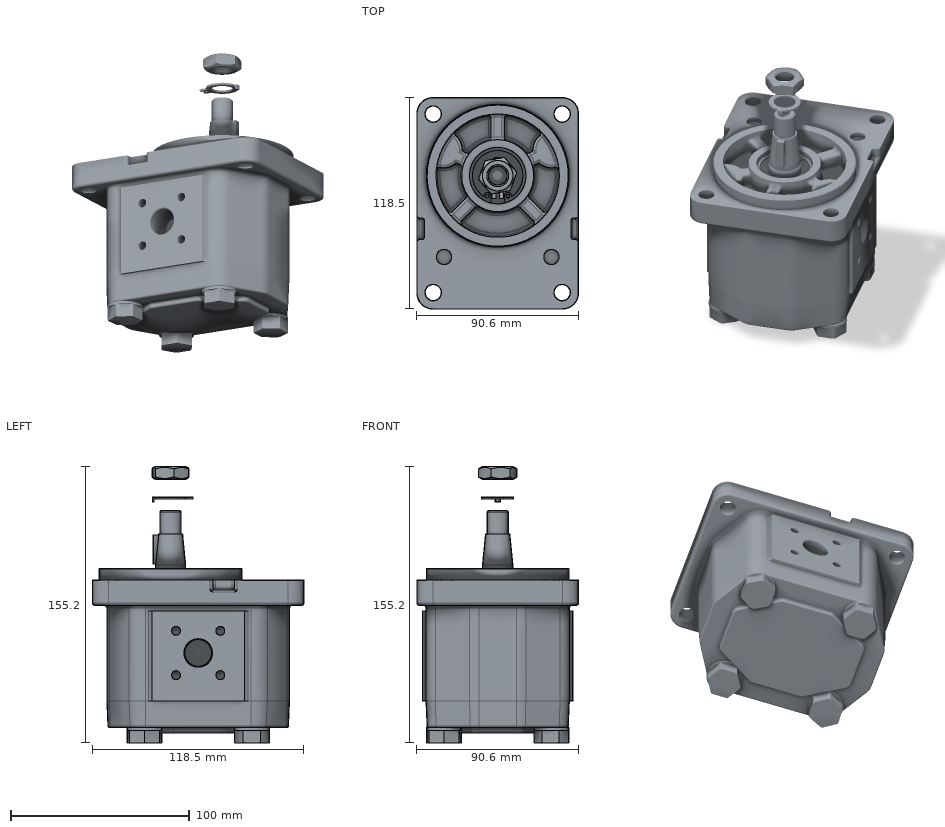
import cadquery as cq
import math


CENTER_Y = -15.5

FLANGE_X = 90.6
FLANGE_Y = 118.5
FLANGE_T = 14.1
FLANGE_CORNER_R = 9.0
FLANGE_EDGE_R = 1.4
MOUNT_HOLE_D = 9.0
MOUNT_PITCH_X = 72.3
MOUNT_PITCH_Y = 100.0
NOTCH_Y = -29.8
NOTCH_W = 12.1
NOTCH_DEPTH = 4.2
NOTCH_H = 5.5
NOTCH_MOUTH_R = 1.5
NOTCH_BACK_R = 1.4
NOTCH_SILL_R = 1.1
NOTCH_FLOOR_R = 0.8

PILOT_D = 80.0
PILOT_H = 6.7
PILOT_CHAMFER = 0.5
RECESS_D = 69.2
HUB_D = 40.3
HUB_TOP = 5.7
RIB_TOP = 3.1
RIB_W = 7.5
RIB_ANGLES = (90, 225, 315)
BOSS_D = 20.5
POCKET_FLOOR = -5.0
POCKET_R = 1.5
WALL_DRAFT = 4.0

SEAL_BORE_D = 31.6
SEAL_TOP = 0.8
CLIP_INNER_D = 28.2
CLIP_T = 1.1
CLIP_TOP = 3.0
CLIP_GAP = 7.8
CLIP_EAR_X = 5.7
CLIP_EAR_Y = -11.5
CLIP_EAR_D = 4.0
CLIP_EAR_HOLE_D = 2.0

JOURNAL_D = 18.5
JOURNAL_TOP = 4.5
SHAFT_D = 17.0
SHAFT_NECK_BOTTOM = 5.9
CONE_BOTTOM = 8.5
CONE_TOP = 25.7
CONE_TOP_D = 13.6
THREAD_D = 12.0
THREAD_TOP = 39.1
THREAD_CHAMFER = 0.8
KEY_W = 4.0
KEY_REACH = 9.8
KEY_BOTTOM = 9.0
KEY_TOP = 25.5

HOUSING_HALF_X = 40.2
HOUSING_HALF_Y = 51.2
SIDE_HALF_Y = 35.7
CORNER_ANGLE = 30.0
HOUSING_CORNER_R = 10.5
NECK_R = 1.5
COVER_TOP = -67.6
COVER_BOTTOM = -82.7
COVER_DRAFT = 2.5
COVER_EDGE_R = 1.1
PLATEAU_H = 3.1
PLATEAU_HALF_X = 27.9
PLATEAU_HALF_Y = 38.8
PLATEAU_FLAT_X = 13.5
PLATEAU_FLAT_Y = 15.0
PLATEAU_EDGE_R = 1.0
PLATEAU_ROOT_R = 0.6
PLATEAU_CORNER_R = 4.7

PAD_TOP = -17.2
PAD_HEIGHT = 2.0
PAD_W = 51.8
PORT_Z = -40.8
PORT_D = 15.0
PORT_DEPTH = 18.6
PORT_CHAMFER = 0.5
PORT_SCREW_D = 5.0
PORT_SCREW_PITCH = 24.8
PORT_SCREW_DEPTH = 10.9
DRILL_POINT_ANGLE = 118.0

BOLT_PITCH = 60.2
BOLT_END_D = 8.5
BOLT_END_DEPTH = 3.0
BOLT_CORNER_D = 19.5
BOLT_WASHER_T = 1.5
BOLT_HEAD_BOTTOM = -91.4
BOLT_CHAMFER = 0.5
BOLT_HEADS = ((-1, -1, 30.0), (1, -1, -3.5), (-1, 1, 0.0), (1, 1, 30.0))

WASHER_D = 18.0
WASHER_BORE_D = 12.3
WASHER_T = 1.1
WASHER_BOTTOM = 45.5
TONGUE_W = 3.0
TONGUE_REACH = 10.2
TONGUE_DROP = 1.5
PRONG_INNER_X = 1.1
PRONG_W = 2.1
PRONG_REACH = 12.7

NUT_BOTTOM = 56.5
NUT_H = 7.3
NUT_CORNER_D = 21.9
NUT_FACE_D = 17.0
NUT_CHAMFER_ANGLE = 30.0
NUT_BORE_D = 10.5
NUT_BORE_RIM_D = 12.3
NUT_TURN = 10.0


def cylinder(diameter, bottom, top, x=0.0, y=0.0):
    disc = cq.Workplane("XY", origin=(x, y, bottom)).circle(diameter / 2)
    return disc.extrude(top - bottom)


def box(x_range, y_range, z_range):
    size = [high - low for low, high in (x_range, y_range, z_range)]
    corner = (x_range[0], y_range[0], z_range[0])
    return cq.Workplane("XY", origin=corner).box(*size, centered=False)


def hex_prism(corner_d, bottom, top, turn):
    flat = cq.Workplane("XY", origin=(0, 0, bottom)).polygon(6, corner_d)
    return flat.extrude(top - bottom).rotate((0, 0, 0), (0, 0, 1), turn)


def octagon(plane_z, half_x, half_y, flat_half_x, flat_half_y):
    """Octagon around the housing centre; the flats give the straight part of each side."""
    corners = []
    for sx, sy in ((1, 1), (-1, 1), (-1, -1), (1, -1)):
        pair = [(sx * half_x, sy * flat_half_y), (sx * flat_half_x, sy * half_y)]
        corners += pair if sx == sy else pair[::-1]
    return cq.Workplane("XY", origin=(0, CENTER_Y, plane_z)).polyline(corners).close()


def bolt_places():
    return [(sx * BOLT_PITCH / 2, CENTER_Y + sy * BOLT_PITCH / 2, turn) for sx, sy, turn in BOLT_HEADS]


def make_flange():
    plate = box((-FLANGE_X / 2, FLANGE_X / 2),
                (CENTER_Y - FLANGE_Y / 2, CENTER_Y + FLANGE_Y / 2), (-FLANGE_T, 0))
    plate = plate.edges("|Z").fillet(FLANGE_CORNER_R)
    return plate.faces("<Z").edges().fillet(FLANGE_EDGE_R)


def housing_outline(plane_z):
    corner_run = (HOUSING_HALF_Y - SIDE_HALF_Y) / math.tan(math.radians(CORNER_ANGLE))
    return octagon(plane_z, HOUSING_HALF_X, HOUSING_HALF_Y, HOUSING_HALF_X - corner_run, SIDE_HALF_Y)


def make_housing():
    straight = housing_outline(COVER_TOP).extrude(-FLANGE_T - COVER_TOP)
    return straight.edges("|Z").fillet(HOUSING_CORNER_R)


def make_cover():
    profile = make_housing().faces("<Z").wires().toPending()
    cover = profile.workplane().extrude(COVER_TOP - COVER_BOTTOM, combine=False, taper=COVER_DRAFT)
    cover = cover.faces("<Z").edges().fillet(COVER_EDGE_R)
    plateau = octagon(COVER_BOTTOM, PLATEAU_HALF_X, PLATEAU_HALF_Y, PLATEAU_FLAT_X, PLATEAU_FLAT_Y)
    plateau = plateau.extrude(-PLATEAU_H).edges("|Z").fillet(PLATEAU_CORNER_R)
    plateau = plateau.faces("<Z").edges().fillet(PLATEAU_EDGE_R)
    cover = cover.union(plateau)
    root = cq.selectors.BoxSelector((-PLATEAU_HALF_X - 0.2, CENTER_Y - PLATEAU_HALF_Y - 0.2, COVER_BOTTOM - 0.2),
                                    (PLATEAU_HALF_X + 0.2, CENTER_Y + PLATEAU_HALF_Y + 0.2, COVER_BOTTOM + 0.2),
                                    boundingbox=True)
    return cover.edges(root).fillet(PLATEAU_ROOT_R)


def add_neck_fillet(body):
    """Round the joint between the flange underside and the housing."""
    reach_x = HOUSING_HALF_X + 0.2
    reach_y = HOUSING_HALF_Y + 0.2
    joint = cq.selectors.BoxSelector((-reach_x, CENTER_Y - reach_y, -FLANGE_T - 0.2),
                                     (reach_x, CENTER_Y + reach_y, -FLANGE_T + 0.2), boundingbox=True)
    return body.edges(joint).fillet(NECK_R)


def make_pad():
    """Port pad on the +X side whose side faces run out into the housing in a hollow quarter round."""
    half = PAD_W / 2
    inside = HOUSING_HALF_X - PAD_HEIGHT
    base = HOUSING_HALF_X
    face = base + PAD_HEIGHT
    foot = half + PAD_HEIGHT
    sketch = cq.Workplane("XY", origin=(0, CENTER_Y, COVER_TOP)).moveTo(inside, -foot).lineTo(base, -foot)
    bulge = PAD_HEIGHT * (1 - math.sqrt(0.5))
    sketch = sketch.threePointArc((base + bulge, -half - bulge), (face, -half)).lineTo(face, half)
    sketch = sketch.threePointArc((base + bulge, half + bulge), (base, foot)).lineTo(inside, foot)
    return sketch.close().extrude(PAD_TOP - COVER_TOP)


def make_port_holes():
    """Port bore and its four screw holes, entering from the +X pad."""
    face_x = HOUSING_HALF_X + PAD_HEIGHT
    face = cq.Workplane("YZ", origin=(face_x, CENTER_Y, PORT_Z))
    bore = face.circle(PORT_D / 2).extrude(-PORT_DEPTH)
    mouth = face.circle(PORT_D / 2 + PORT_CHAMFER).extrude(-PORT_CHAMFER, taper=45)
    holes = bore.union(mouth)
    point_depth = PORT_SCREW_D / 2 / math.tan(math.radians(DRILL_POINT_ANGLE / 2))
    drill = [(0, 0), (-PORT_SCREW_DEPTH - point_depth, 0),
             (-PORT_SCREW_DEPTH, PORT_SCREW_D / 2), (0, PORT_SCREW_D / 2)]
    for sy in (-1, 1):
        for sz in (-1, 1):
            place = (face_x, CENTER_Y + sy * PORT_SCREW_PITCH / 2, PORT_Z + sz * PORT_SCREW_PITCH / 2)
            profile = cq.Workplane("XY", origin=place).polyline(drill).close()
            holes = holes.union(profile.revolve(360, (0, 0, 0), (1, 0, 0)))
    return holes


def make_bolt_head(x, y, turn):
    washer_bottom = COVER_BOTTOM - BOLT_WASHER_T
    head = hex_prism(BOLT_CORNER_D, BOLT_HEAD_BOTTOM, washer_bottom, turn)
    envelope = cylinder(BOLT_CORNER_D, BOLT_HEAD_BOTTOM, washer_bottom).faces("<Z").chamfer(BOLT_CHAMFER)
    washer = cylinder(BOLT_CORNER_D, washer_bottom, COVER_BOTTOM)
    return head.intersect(envelope).union(washer).translate((x, y, 0))


def make_mount_holes():
    places = cq.Workplane("XY", origin=(0, CENTER_Y, -FLANGE_T)).rect(
        MOUNT_PITCH_X, MOUNT_PITCH_Y, forConstruction=True).vertices()
    return places.circle(MOUNT_HOLE_D / 2).extrude(FLANGE_T)


def make_bolt_end_holes():
    """Blind holes above the two bolts that lie outside the pilot ring."""
    lower = [(x, y) for x, y, _ in bolt_places() if y < CENTER_Y]
    return cq.Workplane("XY").pushPoints(lower).circle(BOLT_END_D / 2).extrude(-BOLT_END_DEPTH)


def make_notch():
    """Notch in the +X edge of the flange with rounded back corners and a flared mouth."""
    back = FLANGE_X / 2 - NOTCH_DEPTH
    mouth = FLANGE_X / 2
    half = NOTCH_W / 2
    slot = box((back, mouth + 1.5), (NOTCH_Y - half, NOTCH_Y + half), (-NOTCH_H, 1.5))
    slot = slot.edges("<X and |Z").fillet(NOTCH_BACK_R)
    slot = slot.faces("<Z").edges("not >X").edges("not |X").fillet(NOTCH_FLOOR_R)
    reach = half + NOTCH_MOUTH_R
    start = mouth - NOTCH_MOUTH_R
    bottom = -NOTCH_H - NOTCH_SILL_R
    flare = box((start, mouth), (NOTCH_Y - reach, NOTCH_Y + reach), (bottom, 0))
    flare = flare.edges("|X and <Z").fillet(NOTCH_MOUTH_R)
    for sy in (-1, 1):
        flare = flare.cut(cylinder(2 * NOTCH_MOUTH_R, bottom, 0, start, NOTCH_Y + sy * reach))
    sill = cq.Workplane("XZ", origin=(mouth - NOTCH_SILL_R, NOTCH_Y + reach, bottom))
    flare = flare.cut(sill.circle(NOTCH_SILL_R).extrude(2 * reach))
    below = box((start, mouth - NOTCH_SILL_R), (NOTCH_Y - reach, NOTCH_Y + reach), (bottom, -NOTCH_H))
    flare = flare.cut(below)
    return slot.union(flare)


def turned_cylinder(diameter, bottom, top, taper=0.0):
    """Cylinder or cone built upwards, with its seam at +Y, where the recess has a rib."""
    disc = cq.Workplane("XY", origin=(0, 0, bottom)).circle(diameter / 2)
    return disc.extrude(top - bottom, taper=taper).rotate((0, 0, 0), (0, 0, 1), 90)


def ring_gap(top, hub_top):
    """Space between the drafted hub and ring wall, from the pocket floor up."""
    slope = math.tan(math.radians(WALL_DRAFT))
    hub_foot_d = HUB_D + 2 * slope * (HUB_TOP - POCKET_FLOOR)
    ring_foot_d = RECESS_D - 2 * slope * (PILOT_H - POCKET_FLOOR)
    space = turned_cylinder(ring_foot_d, POCKET_FLOOR, top, -WALL_DRAFT)
    return space.cut(turned_cylinder(hub_foot_d, POCKET_FLOOR, hub_top, WALL_DRAFT))


def make_pockets():
    """The five pockets between the ribs and the two bolt bosses, with sharp edges."""
    pockets = ring_gap(RIB_TOP, RIB_TOP)
    bosses = [(x, y) for x, y, _ in bolt_places() if y > CENTER_Y]
    boss_angles = [math.degrees(math.atan2(y, x)) for x, y in bosses]
    for angle in (*RIB_ANGLES, *boss_angles):
        rib = box((0, RECESS_D), (-RIB_W / 2, RIB_W / 2), (POCKET_FLOOR, RIB_TOP))
        pockets = pockets.cut(rib.rotate((0, 0, 0), (0, 0, 1), angle))
    for x, y in bosses:
        pockets = pockets.cut(cylinder(BOSS_D, POCKET_FLOOR, RIB_TOP, x, y))
    return pockets


def is_rib_edge(edge):
    """True for the top edges of ribs and bosses."""
    middle = edge.Center()
    radius = math.hypot(middle.x, middle.y)
    return abs(middle.z - RIB_TOP) < 0.2 and HUB_D / 2 + 0.8 < radius < RECESS_D / 2 - 0.8


def is_pocket_edge(edge):
    """True for the floor edges and the upright corner edges of the pockets."""
    middle = edge.Center()
    if middle.z > RIB_TOP or math.hypot(middle.x, middle.y) > RECESS_D / 2:
        return False
    on_floor = abs(middle.z - POCKET_FLOOR) < 0.2
    upright = abs(edge.tangentAt(0.5).z) > 0.99 and middle.z > POCKET_FLOOR
    seam = abs(middle.x) < 0.2
    return on_floor or (upright and not seam)


def make_pilot():
    """Pilot ring with its hub, ribs and bosses; its lower end sits inside the flange."""
    pilot = turned_cylinder(PILOT_D, -FLANGE_T / 2, PILOT_H).faces(">Z").edges().chamfer(PILOT_CHAMFER)
    upper_space = ring_gap(PILOT_H, HUB_TOP).cut(cylinder(PILOT_D, POCKET_FLOOR, RIB_TOP))
    pilot = pilot.cut(upper_space).cut(make_pockets())
    pilot = pilot.edges().filter(is_rib_edge).fillet(POCKET_R)
    return pilot.edges().filter(is_pocket_edge).fillet(POCKET_R)


def make_clip():
    """Retaining ring in the seal bore, open towards -Y, with a drilled ear at each end."""
    bottom = CLIP_TOP - CLIP_T
    ring = cylinder(SEAL_BORE_D, bottom, CLIP_TOP).cut(cylinder(CLIP_INNER_D, bottom, CLIP_TOP))
    for side in (-1, 1):
        x = side * CLIP_EAR_X
        half = CLIP_EAR_D / 2
        ear = cylinder(CLIP_EAR_D, bottom, CLIP_TOP, x, CLIP_EAR_Y)
        ear = ear.union(box((x - half, x + half), (-SEAL_BORE_D / 2, CLIP_EAR_Y), (bottom, CLIP_TOP)))
        ear = ear.intersect(cylinder(SEAL_BORE_D, bottom, CLIP_TOP))
        ring = ring.union(ear).cut(cylinder(CLIP_EAR_HOLE_D, bottom, CLIP_TOP, x, CLIP_EAR_Y))
    gap = box((-CLIP_GAP / 2, CLIP_GAP / 2), (-SEAL_BORE_D, CLIP_EAR_Y), (bottom, CLIP_TOP))
    return ring.cut(gap)


def make_shaft():
    profile = [
        (0, 0),
        (JOURNAL_D / 2, 0),
        (JOURNAL_D / 2, JOURNAL_TOP),
        (SHAFT_D / 2, SHAFT_NECK_BOTTOM),
        (SHAFT_D / 2, CONE_BOTTOM),
        (CONE_TOP_D / 2, CONE_TOP),
        (THREAD_D / 2, CONE_TOP),
        (THREAD_D / 2, THREAD_TOP - THREAD_CHAMFER),
        (THREAD_D / 2 - THREAD_CHAMFER, THREAD_TOP),
        (0, THREAD_TOP),
    ]
    shaft = cq.Workplane("XZ").polyline(profile).close().revolve(360, (0, 0, 0), (0, 1, 0))
    key = box((-KEY_W / 2, KEY_W / 2), (0, KEY_REACH), (KEY_BOTTOM, KEY_TOP))
    return shaft.union(key)


def make_pump():
    pump = add_neck_fillet(make_flange().union(make_housing()))
    pump = pump.union(make_cover()).cut(cylinder(PILOT_D, -FLANGE_T / 2, 0)).union(make_pilot())
    pad = make_pad()
    holes = make_port_holes()
    notch = make_notch()
    pump = pump.union(pad).union(pad.mirror("YZ"))
    for cutter in (holes, notch):
        pump = pump.cut(cutter).cut(cutter.mirror("YZ"))
    pump = pump.cut(make_mount_holes()).cut(make_bolt_end_holes())
    pump = pump.cut(cylinder(SEAL_BORE_D, SEAL_TOP, PILOT_H)).union(make_clip()).union(make_shaft())
    for x, y, turn in bolt_places():
        pump = pump.union(make_bolt_head(x, y, turn))
    return pump


def make_washer():
    """Flat washer with one tongue bent down at +Y and two straight prongs at -Y."""
    top = WASHER_BOTTOM + WASHER_T
    level = (WASHER_BOTTOM, top)
    half = TONGUE_W / 2
    washer = cylinder(WASHER_D, *level)
    washer = washer.union(box((-half, half), (0, TONGUE_REACH), level))
    drop = (WASHER_BOTTOM - TONGUE_DROP, top)
    washer = washer.union(box((-half, half), (TONGUE_REACH - WASHER_T, TONGUE_REACH), drop))
    prong = box((PRONG_INNER_X, PRONG_INNER_X + PRONG_W), (-PRONG_REACH, 0), level)
    washer = washer.union(prong).union(prong.mirror("YZ"))
    return washer.cut(cylinder(WASHER_BORE_D, *level))


def make_nut():
    """Hex nut with both faces turned down at the corners and a chamfered bore."""
    top = NUT_BOTTOM + NUT_H
    radial_cut = (NUT_CORNER_D - NUT_FACE_D) / 2
    axial_cut = radial_cut * math.tan(math.radians(NUT_CHAMFER_ANGLE))
    cutback = [(NUT_FACE_D / 2, top), (NUT_CORNER_D / 2, top), (NUT_CORNER_D / 2, top - axial_cut)]
    upper_cut = cq.Workplane("XZ").polyline(cutback).close().revolve(360, (0, 0, 0), (0, 1, 0))
    lower_cut = upper_cut.mirror("XY", (0, 0, (NUT_BOTTOM + top) / 2))
    rim = (NUT_BORE_RIM_D - NUT_BORE_D) / 2
    nut = hex_prism(NUT_CORNER_D, NUT_BOTTOM, top, NUT_TURN).cut(upper_cut).cut(lower_cut)
    nut = nut.cut(cylinder(NUT_BORE_D, NUT_BOTTOM, top))
    return nut.faces("<Z or >Z").edges("%CIRCLE").edges(cq.selectors.RadiusNthSelector(0)).chamfer(rim)


pump = make_pump()
washer = make_washer()
nut = make_nut()

result = cq.Compound.makeCompound([pump.val(), washer.val(), nut.val()])